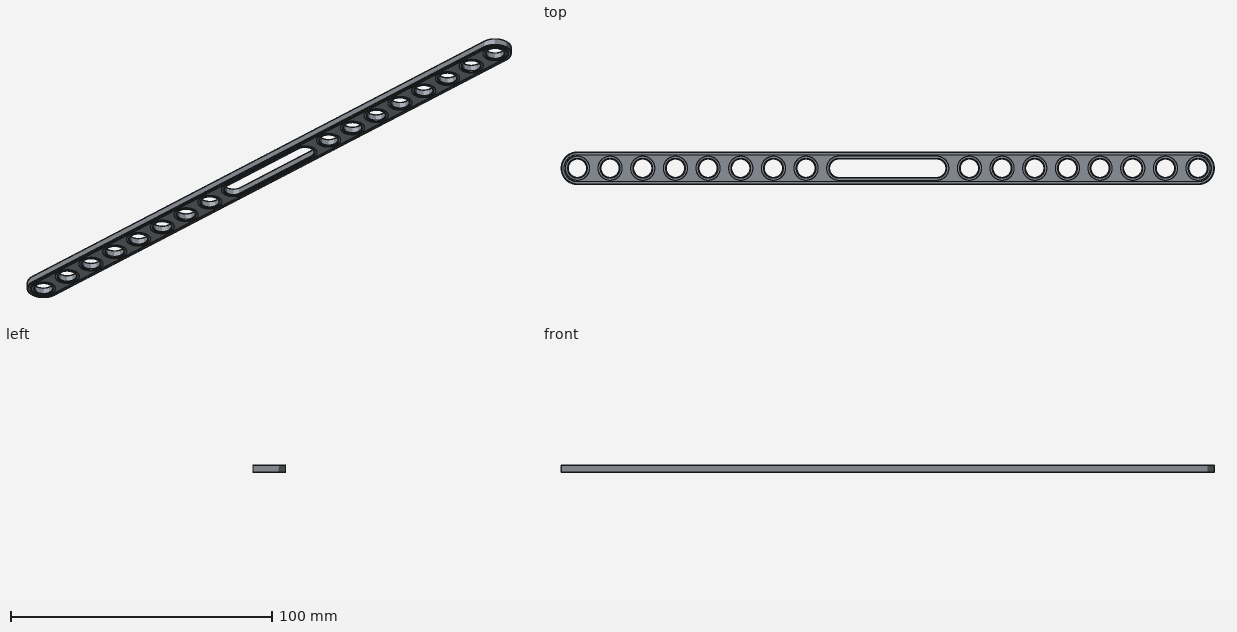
import cadquery as cq

length = 250
width = 12.5
thickness = 3.0
edge_chamfer = 0.2

hole_diameter = 7.0
hole_chamfer = 0.3
chamfer_angle = 45
pitch = width
holes_per_side = 8
end_hole_x = (length - width) / 2
slot_end_x = end_hole_x - holes_per_side * pitch

rim_diameter = 9.2
rim_width = (rim_diameter - hole_diameter) / 2
recess_depth = 0.2

hole_centers = [
    (side * (end_hole_x - i * pitch), 0)
    for side in (-1, 1)
    for i in range(holes_per_side)
]


def stadium(total_length, total_width, height, taper=0):
    """Round-ended block standing on the XY plane."""
    return cq.Workplane("XY").slot2D(total_length, total_width).extrude(height, taper=taper)


def openings(diameter, height, taper=0):
    """All holes and the slot as solids on the XY plane, narrowing upward by the taper angle."""
    holes = cq.Workplane("XY").pushPoints(hole_centers).circle(diameter / 2).extrude(height, taper=taper)
    slot = stadium(2 * slot_end_x + diameter, diameter, height, taper)
    return holes.union(slot)


def on_both_faces(cutter):
    """Cutter for the bottom face together with its mirror image for the top face."""
    top_cutter = cutter.mirror("XY").translate((0, 0, thickness))
    return cutter.union(top_cutter)


def make_recess():
    """Recess inside the outer rim, interrupted by the rims of the openings."""
    floor_area = stadium(length - 2 * rim_width, width - 2 * rim_width, recess_depth)
    return floor_area.cut(openings(rim_diameter, recess_depth))


def make_mouths():
    """Tapered cutters that chamfer the mouths of the openings."""
    return openings(hole_diameter + 2 * hole_chamfer, hole_chamfer, chamfer_angle)


bar = stadium(length, width, thickness).faces("<Z or >Z").edges().chamfer(edge_chamfer)
bar = bar.cut(openings(hole_diameter, thickness))
bar = bar.cut(on_both_faces(make_mouths()))
result = bar.cut(on_both_faces(make_recess()))